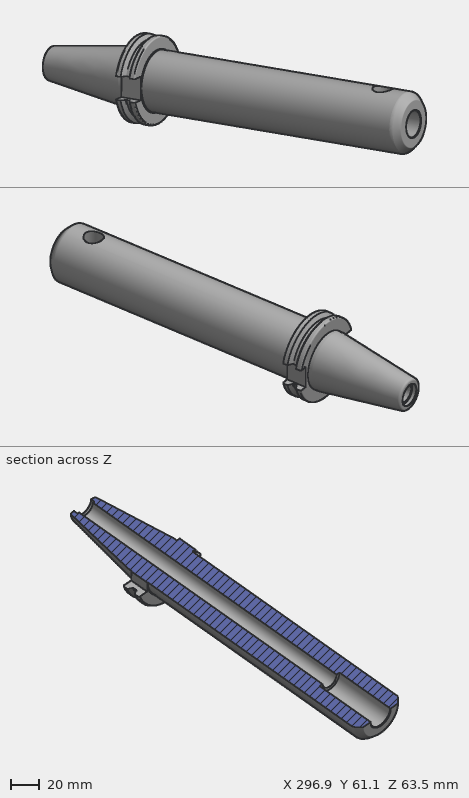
import cadquery as cq
import math


total_length = 296.85
gauge_radius = 44.45 / 2
taper_length = 68.25
taper_ratio = 7 / 24
small_end_radius = gauge_radius - taper_length * taper_ratio / 2
small_end_fillet = 1.9
small_end_x = -taper_length
nose_end_x = small_end_x + total_length
nose_chamfer = 5.2
nose_shoulder_fillet = 3.0
nose_rim_fillet = 1.0

flange_radius = 63.5 / 2
flange_front_x = 3.18
flange_back_x = 19.05
flange_rim_fillet = 1.0
flange_root_fillet = 0.5
groove_center_x = 11.1
groove_floor_radius = 56.36 / 2
groove_floor_width = 3.2
groove_floor_fillet = 0.5
groove_wall_angle = math.radians(30)

slot_width = 17.15
slot_floor_minus_y = 22.6
slot_floor_plus_y = 25.0

through_diameter = 13.39
pilot_diameter = 16.3
pilot_mouth_diameter = 16.8
pilot_depth = 3.5
tool_bore_diameter = 19.05
tool_bore_mouth_diameter = 20.05
tool_bore_depth = 50.8

screw_hole_diameter = 14.35
screw_hole_from_nose = 25.4


def circle_at(x, radius):
    """Selector for the circles about X at x, up to the given radius."""
    tolerance = 0.05
    reach = radius + tolerance
    return cq.selectors.BoxSelector(
        (x - tolerance, -reach, -reach), (x + tolerance, reach, reach), boundingbox=True
    )


def make_body():
    """Taper shank and straight nose, turned about X."""
    profile = [
        (small_end_x, 0),
        (small_end_x, small_end_radius),
        (0, gauge_radius),
        (nose_end_x - nose_chamfer, gauge_radius),
        (nose_end_x, gauge_radius - nose_chamfer),
        (nose_end_x, 0),
    ]
    body = cq.Workplane("XY").polyline(profile).close().revolve(360, (0, 0, 0), (1, 0, 0))
    body = body.faces("<X").edges().fillet(small_end_fillet)
    body = body.faces(">X").edges().fillet(nose_rim_fillet)
    shoulder = circle_at(nose_end_x - nose_chamfer, gauge_radius)
    return body.edges(shoulder).fillet(nose_shoulder_fillet)


def make_flange():
    """Flange ring with rounded rims, the V-groove and both drive slots."""
    half_floor = groove_floor_width / 2
    half_mouth = half_floor + (flange_radius - groove_floor_radius) * math.tan(groove_wall_angle)
    root_end_x = flange_back_x + flange_root_fillet
    outline = (
        cq.Workplane("XY")
        .moveTo(flange_front_x, 0)
        .lineTo(flange_front_x, flange_radius)
        .lineTo(groove_center_x - half_mouth, flange_radius)
        .lineTo(groove_center_x - half_floor, groove_floor_radius)
        .lineTo(groove_center_x + half_floor, groove_floor_radius)
        .lineTo(groove_center_x + half_mouth, flange_radius)
        .lineTo(flange_back_x, flange_radius)
        .lineTo(flange_back_x, gauge_radius + flange_root_fillet)
        .radiusArc((root_end_x, gauge_radius), -flange_root_fillet)
        .lineTo(root_end_x, 0)
        .close()
    )
    flange = outline.revolve(360, (0, 0, 0), (1, 0, 0))
    outermost = cq.selectors.RadiusNthSelector(-1)
    for rim_x in (flange_front_x, flange_back_x):
        rim = circle_at(rim_x, flange_radius)
        flange = flange.edges(rim).edges(outermost).fillet(flange_rim_fillet)
    for side in (-1, 1):
        corner_x = groove_center_x + side * half_floor
        corner = circle_at(corner_x, groove_floor_radius)
        flange = flange.edges(corner).fillet(groove_floor_fillet)
    for side, floor in ((-1, slot_floor_minus_y), (1, slot_floor_plus_y)):
        slot_center_y = side * (floor + flange_radius / 2)
        slot_center_x = (flange_front_x + flange_back_x) / 2
        slot = cq.Workplane("XY").box(2 * flange_back_x, flange_radius, slot_width)
        flange = flange.cut(slot.translate((slot_center_x, slot_center_y, 0)))
    return flange


def make_axial_bores():
    """Through bore, with chamfered pilot and tool bores at the small end and the nose."""
    through = through_diameter / 2
    pilot = pilot_diameter / 2
    pilot_mouth = pilot_mouth_diameter / 2
    tool = tool_bore_diameter / 2
    tool_mouth = tool_bore_mouth_diameter / 2
    pilot_end_x = small_end_x + pilot_depth
    tool_bore_start_x = nose_end_x - tool_bore_depth
    profile = [
        (small_end_x, 0),
        (small_end_x, pilot_mouth),
        (small_end_x + pilot_mouth - pilot, pilot),
        (pilot_end_x, pilot),
        (pilot_end_x, through),
        (tool_bore_start_x, through),
        (tool_bore_start_x, tool),
        (nose_end_x - (tool_mouth - tool), tool),
        (nose_end_x, tool_mouth),
        (nose_end_x, 0),
    ]
    return cq.Workplane("XY").polyline(profile).close().revolve(360, (0, 0, 0), (1, 0, 0))


def make_screw_hole():
    """Radial hole from the axis out through the top of the nose."""
    plane = cq.Workplane("XY").center(nose_end_x - screw_hole_from_nose, 0)
    return plane.circle(screw_hole_diameter / 2).extrude(flange_radius)


result = make_body().union(make_flange()).cut(make_axial_bores()).cut(make_screw_hole())